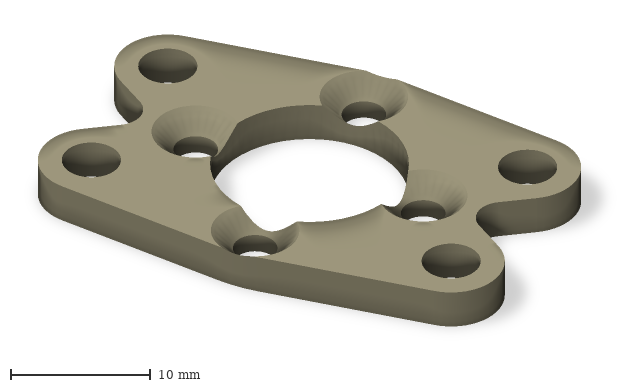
import cadquery as cq
import math

length = 36.17
width = 23.98
thickness = 3.0
crown_radius = width / 2

ear_radius = 3.85
ear_x = length / 2 - ear_radius
ear_y = 6.33
ear_hole_diameter = 4.23

waist_half_length = 13.4
waist_radius = 1.9
waist_x = waist_half_length + waist_radius

bore_diameter = 14.2
screw_circle_radius = 9.0
screw_hole_diameter = 3.2
countersink_diameter = 6.33
countersink_angle = 90.0


def on_circle(center, radius, angle):
    return (center[0] + radius * math.cos(angle), center[1] + radius * math.sin(angle))


def mirrored(point, sign_x, sign_y):
    return (sign_x * point[0], sign_y * point[1])


def plate():
    ear = (ear_x, ear_y)
    waist = (waist_x, 0)

    edge_angle = math.atan2(ear_y, ear_x) + math.acos((crown_radius - ear_radius) / math.hypot(ear_x, ear_y))
    crown_end = on_circle((0, 0), crown_radius, edge_angle)
    ear_start = on_circle(ear, ear_radius, edge_angle)

    rise_x = ear_x - waist_x
    center_distance = math.hypot(rise_x, ear_y)
    waist_angle = math.atan2(ear_y, rise_x) + math.acos((ear_radius + waist_radius) / center_distance)
    waist_end = on_circle(waist, waist_radius, waist_angle)
    ear_end = on_circle(ear, ear_radius, waist_angle + math.pi)
    ear_middle = on_circle(ear, ear_radius, (edge_angle + waist_angle - math.pi) / 2)

    crown_top = (0, crown_radius)
    waist_bottom = (waist_half_length, 0)

    outline = cq.Workplane("XY").moveTo(*mirrored(crown_end, -1, 1))
    for side in (1, -1):
        outline = (
            outline.threePointArc(mirrored(crown_top, side, side), mirrored(crown_end, side, side))
            .lineTo(*mirrored(ear_start, side, side))
            .threePointArc(mirrored(ear_middle, side, side), mirrored(ear_end, side, side))
            .lineTo(*mirrored(waist_end, side, side))
            .threePointArc(mirrored(waist_bottom, side, side), mirrored(waist_end, side, -side))
            .lineTo(*mirrored(ear_end, side, -side))
            .threePointArc(mirrored(ear_middle, side, -side), mirrored(ear_start, side, -side))
            .lineTo(*mirrored(crown_end, side, -side))
        )
    return outline.close().extrude(thickness)


def cut_holes(body):
    top = body.faces(">Z").workplane(origin=(0, 0, thickness))
    body = top.rect(2 * ear_x, 2 * ear_y, forConstruction=True).vertices().hole(ear_hole_diameter)

    top = body.faces(">Z").workplane(origin=(0, 0, thickness))
    body = top.polarArray(screw_circle_radius, 0, 360, 4).cskHole(
        screw_hole_diameter, countersink_diameter, countersink_angle
    )

    return body.faces(">Z").workplane(origin=(0, 0, thickness)).hole(bore_diameter)


result = cut_holes(plate())